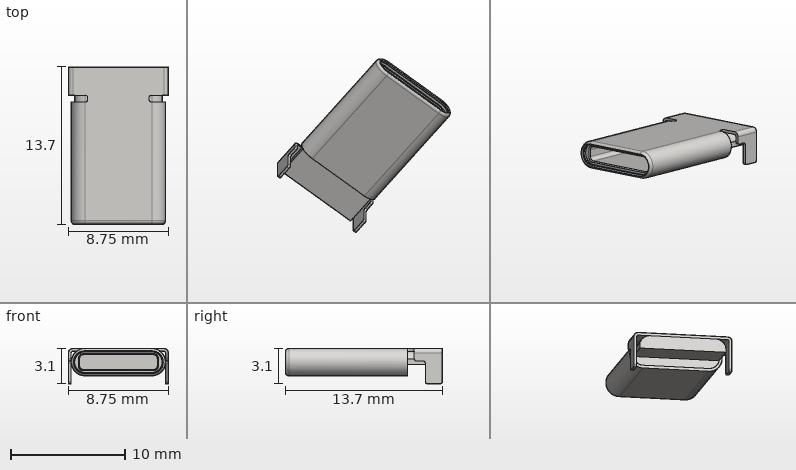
import cadquery as cq
import math


overall_length = 13.74
mouth_y = 0.0
rear_y = mouth_y + overall_length

tube_width = 8.25
tube_height = 2.4
sheet_thickness = 0.25
tube_rear_y = rear_y - 3.05
mouth_edge_radius = 0.35
mouth_lip_thickness = 0.3
mouth_bevel = 0.1
bevel_angle = 45
mouth_lip_end_y = mouth_y + 0.25

plate_length = 2.47
plate_front_y = rear_y - plate_length
plate_bend_radius = 0.4
plate_width = tube_width + 2 * sheet_thickness
leg_length = 1.5
leg_bottom_z = -1.9
tab_bottom_z = 0.1
leg_corner_radius = 0.2
notch_span = 5.36
notch_corner_radius = 0.2

insert_front_y = mouth_y + 0.5
opening_width = 6.8
opening_height = 1.3
opening_corner_radius = 0.35
opening_bevel = 0.1
opening_depth = 6.5
block_width = 7.67
block_bottom_z = -0.205

top_z = tube_height / 2
plate_underside_z = top_z - sheet_thickness
bore_height = tube_height - 2 * sheet_thickness
lip_height = tube_height - 2 * mouth_lip_thickness
bevel_height = lip_height + 2 * mouth_bevel
arc_spacing = tube_width - tube_height


def xz_plane(y):
    """Workplane across the plug at the given Y; extrusions go toward +Y."""
    return cq.Workplane(cq.Plane(origin=(0, y, 0), xDir=(-1, 0, 0), normal=(0, 1, 0)))


def obround(height, y_start, y_end):
    """Prism with the plug's obround section, concentric with the tube."""
    return xz_plane(y_start).slot2D(arc_spacing + height, height).extrude(y_end - y_start)


def box(x_min, x_max, y_min, y_max, z_min, z_max):
    size = (x_max - x_min, y_max - y_min, z_max - z_min)
    return cq.Workplane("XY").box(*size, centered=False).translate((x_min, y_min, z_min))


def make_tube():
    rim_thickness = mouth_lip_thickness - mouth_bevel
    reach = math.sqrt(mouth_edge_radius**2 - (mouth_edge_radius - rim_thickness) ** 2)
    nominal_front_y = mouth_y - (mouth_edge_radius - reach)
    tube = obround(tube_height, nominal_front_y, tube_rear_y)
    tube = tube.faces("<Y").edges().fillet(mouth_edge_radius)
    bevel = (
        xz_plane(mouth_y)
        .slot2D(arc_spacing + bevel_height, bevel_height)
        .extrude(mouth_bevel, taper=bevel_angle)
    )
    nose = obround(bevel_height, nominal_front_y, mouth_y)
    lip_bore = obround(lip_height, mouth_y, mouth_lip_end_y)
    bore = obround(bore_height, mouth_lip_end_y, tube_rear_y)
    return tube.cut(nose).cut(bevel).cut(lip_bore).cut(bore)


def make_mounting_plate():
    """Plate bent down along both sides, with an L-shaped side profile for the legs."""
    outer = box(-plate_width / 2, plate_width / 2, plate_front_y, rear_y, leg_bottom_z, top_z)
    outer = outer.edges("|Y and >Z").fillet(plate_bend_radius)
    inner = box(-tube_width / 2, tube_width / 2, plate_front_y, rear_y, leg_bottom_z, plate_underside_z)
    inner = inner.edges("|Y and >Z").fillet(plate_bend_radius - sheet_thickness)
    leg_front_y = rear_y - leg_length
    tab_clearance = box(-plate_width, plate_width, plate_front_y, leg_front_y, leg_bottom_z, tab_bottom_z)
    plate = outer.cut(tab_clearance)
    plate = plate.edges("|X and (not >Z)").fillet(leg_corner_radius)
    return plate.cut(inner)


def make_notch(side):
    """Relief notch with a rounded inner end; side is -1 or +1."""
    length = (plate_width - notch_span) / 2
    width = plate_front_y - tube_rear_y
    notch = cq.Workplane("XY").box(2 * length, width, sheet_thickness)
    notch = notch.edges("|Z").fillet(notch_corner_radius)
    center_y = (plate_front_y + tube_rear_y) / 2
    return notch.translate((side * (notch_span / 2 + length), center_y, top_z - sheet_thickness / 2))


def make_neck():
    """Flat strip joining the plate to the tube between the two relief notches."""
    neck = box(
        -arc_spacing / 2, arc_spacing / 2, tube_rear_y, plate_front_y, plate_underside_z, top_z
    )
    for side in (-1, 1):
        neck = neck.cut(make_notch(side))
    return neck


def make_shell():
    return make_tube().union(make_neck()).union(make_mounting_plate())


def make_opening():
    rear_of_opening = (
        xz_plane(insert_front_y)
        .rect(opening_width, opening_height)
        .extrude(opening_depth)
        .edges("|Y")
        .fillet(opening_corner_radius)
    )
    mouth = (
        xz_plane(insert_front_y)
        .sketch()
        .rect(opening_width + 2 * opening_bevel, opening_height + 2 * opening_bevel)
        .vertices()
        .fillet(opening_corner_radius + opening_bevel)
        .finalize()
        .extrude(opening_bevel, taper=bevel_angle)
    )
    return rear_of_opening.union(mouth)


def make_insert():
    front = obround(bore_height, insert_front_y, tube_rear_y)
    block_envelope = box(
        -block_width / 2, block_width / 2, tube_rear_y, rear_y, block_bottom_z, plate_underside_z
    )
    block = obround(bore_height, tube_rear_y, rear_y).intersect(block_envelope)
    return front.union(block).cut(make_opening())


shell = make_shell()
insert = make_insert()

result = cq.Compound.makeCompound([shell.solids().val(), insert.solids().val()])